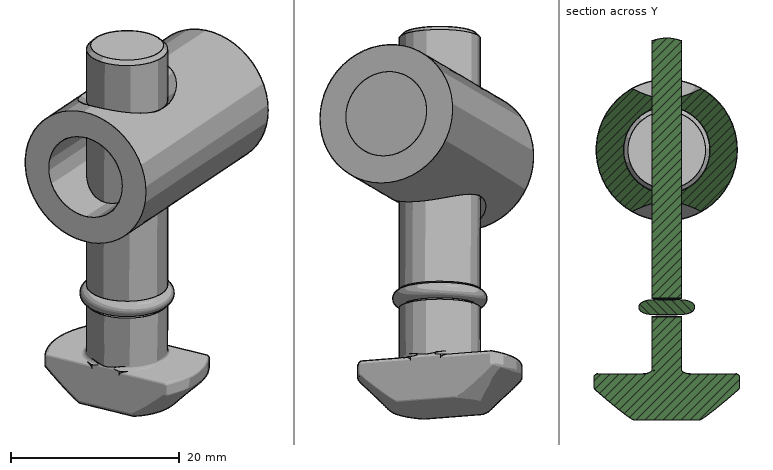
import cadquery as cq
import math

total_height = 45.5
pin_radius = 4.82
pin_chamfer = 0.5

head_radius = 19.5 / 2
head_width = 9.87
head_height = 5.55
rim_bottom_z = 3.78
head_base_radius = head_radius - rim_bottom_z
edge_fillet = 0.45
root_fillet = 0.45
flare_edge_fillet = 0.7

ring_center_z = 13.4
ring_outer_radius = 5.6
ring_section_radius = 0.9
groove_bottom_z = 12.3
groove_height = 2.2
ring_center_radius = ring_outer_radius - ring_section_radius
groove_radius = ring_center_radius - ring_section_radius

sleeve_radius = 8.35
sleeve_length = 28.0
sleeve_front_y = -9.5
sleeve_center_z = 32.05
bore_radius = 5.1
flare_outer_radius = 7.5
flare_inner_height = 6.35

screw_tip_chamfer = 0.5


def make_head():
    """Round disc with a conical underside, cut to two parallel flats."""
    profile = (
        cq.Workplane("XZ")
        .polyline([
            (0, 0),
            (head_base_radius, 0),
            (head_radius, rim_bottom_z),
            (head_radius, head_height),
            (0, head_height),
        ])
        .close()
    )
    disc = profile.revolve(360, (0, 0), (0, 1))
    flats = cq.Workplane("XY").box(
        2 * head_radius, head_width, head_height, centered=(True, True, False)
    )
    return disc.intersect(flats).edges().fillet(edge_fillet)


def make_root_flare():
    """Concave fillet between stem and head, rounded off at the head flats."""
    flare_radius = pin_radius + root_fillet
    flare_top_z = head_height + root_fillet
    flare_bottom_z = head_height - edge_fillet
    arc_offset = root_fillet * (1 - math.sqrt(0.5))
    flare = (
        cq.Workplane("XZ")
        .moveTo(0, flare_bottom_z)
        .lineTo(flare_radius, flare_bottom_z)
        .lineTo(flare_radius, head_height)
        .threePointArc(
            (pin_radius + arc_offset, head_height + arc_offset),
            (pin_radius, flare_top_z),
        )
        .lineTo(0, flare_top_z)
        .close()
        .revolve(360, (0, 0), (0, 1))
    )
    flats = (
        cq.Workplane("XY")
        .box(2 * head_radius, head_width, 2 * flare_top_z)
        .edges("|X and >Z")
        .fillet(flare_edge_fillet)
    )
    return flare.intersect(flats)


def make_groove():
    """Annular cutter for the O-ring groove."""
    return (
        cq.Workplane("XY", origin=(0, 0, groove_bottom_z))
        .circle(ring_outer_radius)
        .circle(groove_radius)
        .extrude(groove_height)
    )


def make_pin():
    stem_bottom_z = head_height / 2
    stem = (
        cq.Workplane("XY", origin=(0, 0, stem_bottom_z))
        .circle(pin_radius)
        .extrude(total_height - stem_bottom_z)
        .faces(">Z")
        .chamfer(pin_chamfer)
    )
    return make_head().union(stem).union(make_root_flare()).cut(make_groove())


def make_o_ring():
    return cq.Workplane("XY").add(
        cq.Solid.makeTorus(ring_center_radius, ring_section_radius, cq.Vector(0, 0, ring_center_z))
    )


def make_flare(direction):
    """Cone that opens the pin hole outward (direction 1 is up, -1 is down)."""
    return (
        cq.Workplane("XY", origin=(0, 0, sleeve_center_z + direction * flare_inner_height))
        .circle(pin_radius)
        .workplane(offset=direction * (sleeve_radius - flare_inner_height))
        .circle(flare_outer_radius)
        .loft(ruled=True)
    )


def make_pin_hole():
    """Straight hole across the sleeve, in which the pin fits."""
    return (
        cq.Workplane("XY", origin=(0, 0, sleeve_center_z - sleeve_radius))
        .circle(pin_radius)
        .extrude(2 * sleeve_radius)
    )


def make_sleeve():
    sleeve = (
        cq.Workplane("XZ", origin=(0, sleeve_front_y, sleeve_center_z))
        .circle(sleeve_radius)
        .circle(bore_radius)
        .extrude(-sleeve_length)
    )
    sleeve = sleeve.cut(make_pin_hole())
    for direction in (1, -1):
        sleeve = sleeve.cut(make_flare(direction))
    return sleeve


def make_clamping_screw():
    """Plain round screw along Y whose chamfered tip touches the pin."""
    screw_length = sleeve_front_y + sleeve_length - pin_radius
    return (
        cq.Workplane("XZ", origin=(0, pin_radius, sleeve_center_z))
        .circle(bore_radius)
        .extrude(-screw_length)
        .faces("<Y")
        .chamfer(screw_tip_chamfer)
    )


pin = make_pin()
o_ring = make_o_ring()
sleeve = make_sleeve()
clamping_screw = make_clamping_screw()

result = cq.Compound.makeCompound([pin.val(), o_ring.val(), sleeve.val(), clamping_screw.val()])